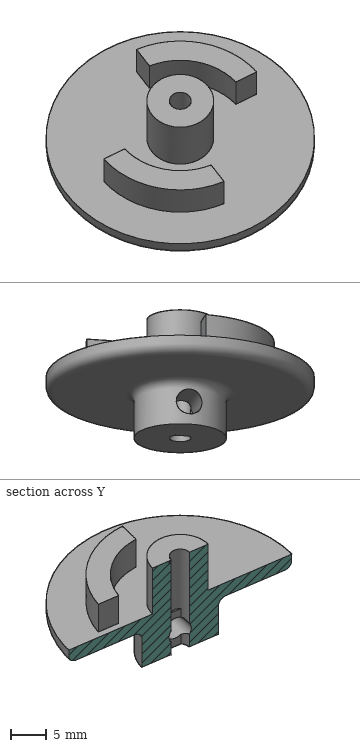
import cadquery as cq

disc_diameter = 38.1
disc_thickness = 2.5
edge_radius = disc_thickness / 2

hub_diameter = 13.1
hub_length = 6.6
hub_fillet = edge_radius
boss_diameter = 9.5
boss_height = 8.55

lug_outer_radius = 13.37
lug_inner_radius = 9.9
lug_height = 5.15
lug_offset = 0.95

bore_diameter = 3.05
bore_flat_distance = 1.22

screw_hole_diameter = 3.7
screw_hole_height = 3.4


def make_cylinder(diameter, bottom, height):
    return cq.Workplane("XY").workplane(offset=bottom).circle(diameter / 2).extrude(height)


def make_body():
    disc = make_cylinder(disc_diameter, 0, disc_thickness).faces("<Z").edges().fillet(edge_radius)
    hub = make_cylinder(hub_diameter, -hub_length, hub_length)
    boss = make_cylinder(boss_diameter, disc_thickness, boss_height)
    hub_root = cq.selectors.RadiusNthSelector(0)
    flanged_hub = disc.union(hub).edges(cq.selectors.BoxSelector(
        (-hub_diameter, -hub_diameter, -hub_fillet / 2),
        (hub_diameter, hub_diameter, hub_fillet / 2),
    )).edges(hub_root).fillet(hub_fillet)
    return flanged_hub.union(boss)


def make_lug(x_sign, y_sign):
    ring = (
        cq.Workplane("XY").workplane(offset=disc_thickness)
        .circle(lug_outer_radius).circle(lug_inner_radius).extrude(lug_height)
    )
    quadrant_center = lug_offset + lug_outer_radius / 2
    quadrant = (
        cq.Workplane("XY").workplane(offset=disc_thickness)
        .center(x_sign * quadrant_center, y_sign * quadrant_center)
        .rect(lug_outer_radius, lug_outer_radius).extrude(lug_height)
    )
    return ring.intersect(quadrant)


def make_bore():
    round_bore = make_cylinder(bore_diameter, -hub_length, hub_length + disc_thickness + boss_height)
    flat_width = bore_diameter / 2 - bore_flat_distance
    flat = (
        cq.Workplane("XY").workplane(offset=-hub_length)
        .center(0, bore_flat_distance + flat_width / 2)
        .rect(bore_diameter, flat_width).extrude(hub_length)
    )
    return round_bore.cut(flat)


def make_screw_hole():
    return (
        cq.Workplane("XZ").center(0, screw_hole_height - hub_length)
        .circle(screw_hole_diameter / 2).extrude(-hub_diameter)
    )


result = make_body()
for side in (-1, 1):
    result = result.union(make_lug(side, -side))
result = result.cut(make_bore()).cut(make_screw_hole())